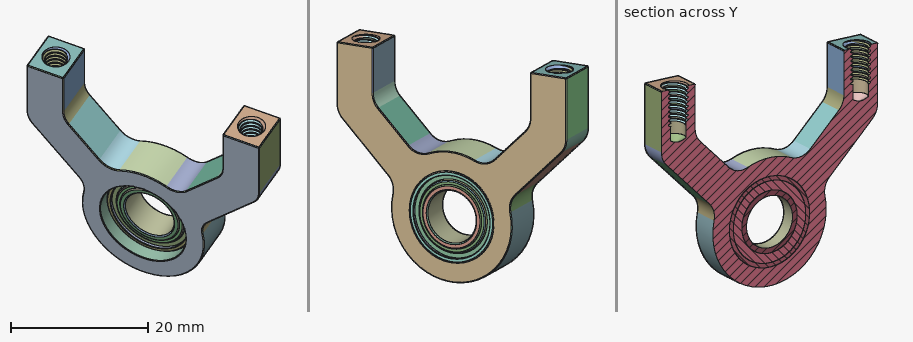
import cadquery as cq
import math

overall_width = 38.0
overall_height = 34.0
thickness = 7.0
ring_radius = 10.0
arm_width = 6.0
inner_bend_drop = 8.25
arm_bend_angle = 45.0
bend_radius = 3.0
edge_chamfer = 0.133

bearing_radius = 7.0
bearing_inset = 2.0
seat_mouth_chamfer = 0.1
outer_race_bore_radius = 6.3
outer_race_bore_chamfer = 0.08
inner_race_radius = 4.9
bore_radius = 4.0
race_chamfer = 0.2
shield_rim_radius = 5.65
shield_shoulder_radius = 5.5
shield_hub_radius = 5.32
shield_rim_recess = 0.5
shield_shoulder_recess = 0.25
shield_hub_recess = 0.15

tap_drill_radius = 1.653
thread_radius = 1.98
thread_pitch = 0.7
thread_depth = 6.0
drill_depth = 8.0
drill_point_half_angle = 59.0
countersink_radius = 2.05
thread_root_flat = 0.08
thread_flank_half_angle = 30.0
groove_overlap = 0.1
thread_start_angle = 90.0
hole_turns = {-1: 10.0, 1: 70.0}

half_width = overall_width / 2
front_y = -thickness / 2
arm_top = overall_height - ring_radius
arm_center = half_width - arm_width / 2
bearing_front = front_y + bearing_inset
bearing_back = -front_y


def arm_blank():
    """Sharp-cornered arm on the +X side, from its top down into the ring."""
    inner_x = half_width - arm_width
    inner_corner_z = arm_top - inner_bend_drop
    outer_corner_z = inner_corner_z - arm_width * math.tan(math.radians(arm_bend_angle / 2))
    return (
        cq.Workplane("XZ", origin=(0, -front_y, 0))
        .moveTo(inner_x, arm_top)
        .lineTo(half_width, arm_top)
        .lineTo(half_width, outer_corner_z)
        .lineTo(0, outer_corner_z - half_width)
        .lineTo(0, inner_corner_z - inner_x)
        .lineTo(inner_x, inner_corner_z)
        .close()
        .extrude(thickness)
    )


def housing_blank():
    """Ring and arms, all corners of the outline rounded, all outline edges chamfered."""
    ring = cq.Workplane("XZ", origin=(0, -front_y, 0)).circle(ring_radius).extrude(thickness)
    arm = arm_blank()
    blank = ring.union(arm).union(arm.mirror("YZ")).clean()
    below_tops = cq.selectors.BoxSelector(
        (-overall_width, -thickness, -ring_radius), (overall_width, thickness, arm_top - edge_chamfer)
    )
    blank = blank.edges("|Y").edges(below_tops).fillet(bend_radius)
    return blank.faces("<Y or >Y or >Z").edges().chamfer(edge_chamfer)


def revolved(outline):
    """Revolve a list of (radius, y) points about the Y axis."""
    return cq.Workplane("XY").polyline(outline).close().revolve(360, (0, 0, 0), (0, 1, 0))


def bearing_seat():
    """Through seat for the bearing with a chamfered mouth."""
    mouth_radius = bearing_radius + seat_mouth_chamfer
    return revolved([
        (0, front_y),
        (mouth_radius, front_y),
        (bearing_radius, front_y + seat_mouth_chamfer),
        (bearing_radius, bearing_back),
        (0, bearing_back),
    ])


def drilled_hole():
    """Countersunk blind hole with a drill point, its mouth at the origin."""
    countersink_depth = countersink_radius - tap_drill_radius
    point_depth = tap_drill_radius / math.tan(math.radians(drill_point_half_angle))
    return (
        cq.Workplane("XZ")
        .polyline([
            (0, 0),
            (countersink_radius, 0),
            (tap_drill_radius, -countersink_depth),
            (tap_drill_radius, -drill_depth),
            (0, -drill_depth - point_depth),
        ])
        .close()
        .revolve(360, (0, 0, 0), (0, 1, 0))
    )


def thread_groove():
    """Right-hand V groove that runs out through the mouth of the hole at the origin."""
    root_half = thread_root_flat / 2
    base_radius = tap_drill_radius - groove_overlap
    base_half = root_half + (thread_radius - base_radius) * math.tan(math.radians(thread_flank_half_angle))
    helix = cq.Wire.makeHelix(thread_pitch, thread_depth + thread_pitch, tap_drill_radius)
    return (
        cq.Workplane("XZ")
        .polyline([
            (base_radius, -base_half),
            (thread_radius, -root_half),
            (thread_radius, root_half),
            (base_radius, base_half),
        ])
        .close()
        .sweep(cq.Workplane(obj=helix), isFrenet=True)
        .translate((0, 0, -thread_depth))
        .rotate((0, 0, 0), (0, 0, 1), thread_start_angle)
    )


def make_housing():
    """Housing with its bearing seat and a tapped hole in each arm top."""
    housing = housing_blank().cut(bearing_seat())
    for side, turn in hole_turns.items():
        for cutter in (drilled_hole(), thread_groove()):
            housing = housing.cut(
                cutter.rotate((0, 0, 0), (0, 0, 1), turn).translate((side * arm_center, 0, arm_top))
            )
    return housing


def make_outer_race():
    """Outer bearing ring, chamfered on its outer and bore edges."""
    return revolved([
        (outer_race_bore_radius, bearing_front + outer_race_bore_chamfer),
        (outer_race_bore_radius + outer_race_bore_chamfer, bearing_front),
        (bearing_radius - race_chamfer, bearing_front),
        (bearing_radius, bearing_front + race_chamfer),
        (bearing_radius, bearing_back - race_chamfer),
        (bearing_radius - race_chamfer, bearing_back),
        (outer_race_bore_radius + outer_race_bore_chamfer, bearing_back),
        (outer_race_bore_radius, bearing_back - outer_race_bore_chamfer),
    ])


def make_inner_race():
    """Inner bearing ring, chamfered on all four edges."""
    return revolved([
        (bore_radius + race_chamfer, bearing_front),
        (inner_race_radius - race_chamfer, bearing_front),
        (inner_race_radius, bearing_front + race_chamfer),
        (inner_race_radius, bearing_back - race_chamfer),
        (inner_race_radius - race_chamfer, bearing_back),
        (bore_radius + race_chamfer, bearing_back),
        (bore_radius, bearing_back - race_chamfer),
        (bore_radius, bearing_front + race_chamfer),
    ])


def make_shield():
    """Annular filler between the races, stepped on both faces."""
    return revolved([
        (inner_race_radius, bearing_front + shield_hub_recess),
        (shield_hub_radius, bearing_front + shield_hub_recess),
        (shield_shoulder_radius, bearing_front + shield_shoulder_recess),
        (shield_rim_radius, bearing_front + shield_rim_recess),
        (outer_race_bore_radius, bearing_front + shield_rim_recess),
        (outer_race_bore_radius, bearing_back - shield_rim_recess),
        (shield_rim_radius, bearing_back - shield_rim_recess),
        (shield_shoulder_radius, bearing_back - shield_shoulder_recess),
        (shield_hub_radius, bearing_back - shield_hub_recess),
        (inner_race_radius, bearing_back - shield_hub_recess),
    ])


housing = make_housing()
outer_race = make_outer_race()
inner_race = make_inner_race()
shield = make_shield()

result = cq.Compound.makeCompound([housing.val(), outer_race.val(), inner_race.val(), shield.val()])